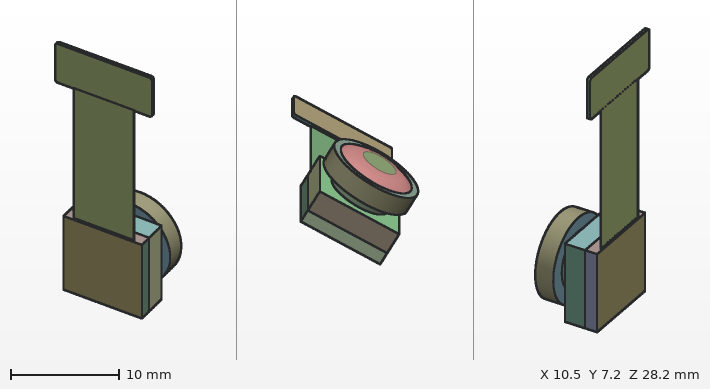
import cadquery as cq


body_side = 8.5
rear_depth = 1.3
holder_front = 3.5

neck_diameter = 6.0
neck_front = 4.6
rim_diameter = 9.0
rim_front = 6.57
dome_diameter = 7.6
crown_diameter = 3.5
lens_front = 7.2

flex_back = 0.15
strip_width = 6.55
strip_thickness = 0.1
head_width = 10.5
head_height = 4.5
head_thickness = 0.33
head_corner_radius = 0.3
overall_height = 28.25

body_top = body_side / 2
flex_top = overall_height - rim_diameter / 2
head_bottom = flex_top - head_height


def square_block(back, front):
    """Square block centred on the lens axis between two Y positions."""
    return cq.Workplane("XY").box(
        body_side, front - back, body_side, centered=(True, False, True)
    ).translate((0, back, 0))


def make_lens():
    """Lens revolved about the Y axis, standing on the front of the holder."""
    neck_radius = neck_diameter / 2
    rim_radius = rim_diameter / 2
    dome_radius = dome_diameter / 2
    return (
        cq.Workplane("YZ")
        .moveTo(lens_front, 0)
        .lineTo(lens_front, crown_diameter / 2)
        .tangentArcPoint((rim_front, dome_radius), relative=False)
        .lineTo(rim_front, rim_radius)
        .lineTo(neck_front, rim_radius)
        .lineTo(neck_front, neck_radius)
        .lineTo(holder_front, neck_radius)
        .lineTo(holder_front, 0)
        .close()
        .revolve(360, (0, 0, 0), (1, 0, 0))
    )


def make_flex():
    """Strip rising from the top of the rear block, with its connector head."""
    strip = cq.Workplane("XY").box(
        strip_width, strip_thickness, head_bottom - body_top, centered=(True, False, False)
    ).translate((0, flex_back, body_top))
    head = cq.Workplane("XY").box(
        head_width, head_thickness, head_height, centered=(True, False, False)
    ).translate((0, flex_back, head_bottom))
    head = head.edges("|Y").fillet(head_corner_radius)
    return strip.union(head)


rear_block = square_block(0, rear_depth)
holder = square_block(rear_depth, holder_front)
lens = make_lens()
flex = make_flex()

result = cq.Compound.makeCompound([rear_block.val(), holder.val(), lens.val(), flex.val()])